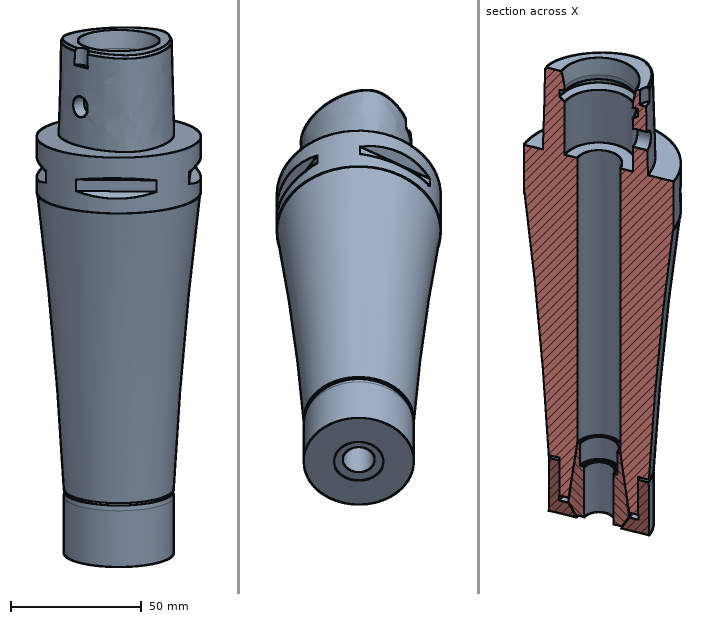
import cadquery as cq
import math

TOTAL_LENGTH = 203.0
FLANGE_TOP = 165.0
FLANGE_BOTTOM = 143.0
BODY_BOTTOM = 25.4
NUT_TOP = 24.4

FLANGE_RADIUS = 31.5
BODY_TOP_RADIUS = 31.3
BODY_MIDDLE_RADIUS = 25.2
BODY_BOTTOM_RADIUS = 21.1
THREAD_RADIUS = 16.6
THREAD_BOTTOM = 8.1

SHANK_BASE_RADIUS = 22.1
SHANK_TAPER = 1 / 40
LOBE_HEIGHT = 1.5
OUTLINE_POINTS = 24
SHANK_CHAMFER_HEIGHT = 1.2
SHANK_CHAMFER_WIDTH = 0.6

MOUTH_RADIUS = 15.6
BORE_RADIUS = 14.2
MOUTH_DEPTH = 7.0
GROOVE_RADIUS = 16.5
GROOVE_TOP = 194.0
GROOVE_WALL_BOTTOM = 191.0
GROOVE_BOTTOM = 189.2
BORE_FLOOR = FLANGE_TOP
CHANNEL_RADIUS = 9.0

NOTCH_RADIUS = 4.0
NOTCH_DISTANCE = 21.5
NOTCH_BOTTOM = 196.3
SIDE_HOLE_RADIUS = 4.0
SIDE_HOLE_HEIGHT = 180.5
SIDE_HOLE_FLOOR_DISTANCE = 14.5

POCKET_COUNT = 4
POCKET_HEIGHT = 152.9
POCKET_FLOOR_DISTANCE = 27.5
POCKET_FLOOR_WIDTH = 4.5
POCKET_RIM_WIDTH = 8.1

COLLET_TOP = 34.5
COLLET_BOTTOM = 1.0
COLLET_WIDEST_HEIGHT = 6.0
COLLET_BACK_ANGLE = 8.0
COLLET_FRONT_ANGLE = 30.0
COLLET_BACK_BORE_RADIUS = 7.7
COLLET_GRIP_RADIUS = 6.0
COLLET_STEP_HEIGHT = 24.4
COLLET_STEP_CHAMFER = 0.5

NUT_RADIUS = 21.1
NUT_CHAMFER_HEIGHT = 2.0
NUT_CHAMFER_WIDTH = 0.2


def collet_back_radius(height):
    """Radius of the long back cone of the collet."""
    return CHANNEL_RADIUS + (COLLET_TOP - height) * math.tan(math.radians(COLLET_BACK_ANGLE))


COLLET_WIDEST_RADIUS = collet_back_radius(COLLET_WIDEST_HEIGHT)


def collet_front_radius(height):
    """Radius of the short front cone that the nut presses on."""
    drop = COLLET_WIDEST_HEIGHT - height
    return COLLET_WIDEST_RADIUS - drop * math.tan(math.radians(COLLET_FRONT_ANGLE))


def revolve_profile(sketch):
    """Close a (radius, height) profile and turn it about the Z axis."""
    return sketch.close().revolve(360, (0, 0, 0), (0, 1, 0))


def shank_outline(radius):
    """Constant-width three-lobed curve, as the envelope of its support distances."""

    def point(step):
        angle = 2 * math.pi * step / OUTLINE_POINTS - math.pi / 2
        reach = radius - LOBE_HEIGHT * math.sin(3 * angle)
        change = -3 * LOBE_HEIGHT * math.cos(3 * angle)
        x = reach * math.cos(angle) - change * math.sin(angle)
        y = reach * math.sin(angle) + change * math.cos(angle)
        return (x, y)

    return [point(step) for step in range(OUTLINE_POINTS)]


def shank_stage(bottom, bottom_radius, top, top_radius):
    """Straight-sided loft between two three-lobed outlines."""
    return (
        cq.Workplane("XY", origin=(0, 0, bottom))
        .spline(shank_outline(bottom_radius), periodic=True)
        .close()
        .workplane(offset=top - bottom)
        .spline(shank_outline(top_radius), periodic=True)
        .close()
        .loft(ruled=True)
    )


def make_shank():
    chamfer_bottom = TOTAL_LENGTH - SHANK_CHAMFER_HEIGHT
    chamfer_radius = SHANK_BASE_RADIUS - SHANK_TAPER * (chamfer_bottom - FLANGE_TOP)
    taper = shank_stage(FLANGE_TOP, SHANK_BASE_RADIUS, chamfer_bottom, chamfer_radius)
    top_radius = chamfer_radius - SHANK_CHAMFER_WIDTH
    return taper.union(shank_stage(chamfer_bottom, chamfer_radius, TOTAL_LENGTH, top_radius))


def make_body():
    """Flange, slightly hollowed cone and threaded nose."""
    middle_height = (FLANGE_BOTTOM + BODY_BOTTOM) / 2
    return revolve_profile(
        cq.Workplane("XZ")
        .moveTo(0, THREAD_BOTTOM)
        .lineTo(THREAD_RADIUS, THREAD_BOTTOM)
        .lineTo(THREAD_RADIUS, BODY_BOTTOM)
        .lineTo(BODY_BOTTOM_RADIUS, BODY_BOTTOM)
        .threePointArc((BODY_MIDDLE_RADIUS, middle_height), (BODY_TOP_RADIUS, FLANGE_BOTTOM))
        .lineTo(FLANGE_RADIUS, FLANGE_BOTTOM)
        .lineTo(FLANGE_RADIUS, FLANGE_TOP)
        .lineTo(0, FLANGE_TOP)
    )


def make_inner_space():
    """Everything bored out of the holder, from the shank mouth down to the collet seat."""
    return revolve_profile(
        cq.Workplane("XZ")
        .moveTo(0, TOTAL_LENGTH)
        .lineTo(MOUTH_RADIUS, TOTAL_LENGTH)
        .lineTo(BORE_RADIUS, TOTAL_LENGTH - MOUTH_DEPTH)
        .lineTo(BORE_RADIUS, GROOVE_TOP)
        .lineTo(GROOVE_RADIUS, GROOVE_TOP)
        .lineTo(GROOVE_RADIUS, GROOVE_WALL_BOTTOM)
        .lineTo(BORE_RADIUS, GROOVE_BOTTOM)
        .lineTo(BORE_RADIUS, BORE_FLOOR)
        .lineTo(CHANNEL_RADIUS, BORE_FLOOR)
        .lineTo(CHANNEL_RADIUS, COLLET_TOP)
        .lineTo(collet_back_radius(THREAD_BOTTOM), THREAD_BOTTOM)
        .lineTo(0, THREAD_BOTTOM)
    )


def make_notch():
    """Upright round cutter that breaks through the shank rim."""
    return (
        cq.Workplane("XY", origin=(0, -NOTCH_DISTANCE, NOTCH_BOTTOM))
        .circle(NOTCH_RADIUS)
        .extrude(TOTAL_LENGTH - NOTCH_BOTTOM)
    )


def make_side_hole():
    """Blind hole from the -Y side, stopping just short of the bore."""
    return (
        cq.Workplane("XZ", origin=(0, -SIDE_HOLE_FLOOR_DISTANCE, SIDE_HOLE_HEIGHT))
        .circle(SIDE_HOLE_RADIUS)
        .extrude(FLANGE_RADIUS)
    )


def make_pocket(angle):
    """Flat-floored pocket with sloping walls, cut straight across the flange rim."""
    return (
        cq.Workplane("XZ", origin=(0, 0, POCKET_HEIGHT))
        .moveTo(POCKET_FLOOR_DISTANCE, -POCKET_FLOOR_WIDTH / 2)
        .lineTo(FLANGE_RADIUS, -POCKET_RIM_WIDTH / 2)
        .lineTo(FLANGE_RADIUS, POCKET_RIM_WIDTH / 2)
        .lineTo(POCKET_FLOOR_DISTANCE, POCKET_FLOOR_WIDTH / 2)
        .close()
        .extrude(FLANGE_RADIUS, both=True)
        .rotate((0, 0, 0), (0, 0, 1), angle)
    )


def make_holder():
    holder = make_body().union(make_shank()).cut(make_inner_space())
    holder = holder.cut(make_notch()).cut(make_side_hole())
    for index in range(POCKET_COUNT):
        holder = holder.cut(make_pocket((index + 0.5) * 360 / POCKET_COUNT))
    return holder


def make_collet():
    """Double-cone sleeve with a wide back bore and a narrow gripping bore."""
    return revolve_profile(
        cq.Workplane("XZ")
        .moveTo(COLLET_GRIP_RADIUS, COLLET_BOTTOM)
        .lineTo(collet_front_radius(COLLET_BOTTOM), COLLET_BOTTOM)
        .lineTo(COLLET_WIDEST_RADIUS, COLLET_WIDEST_HEIGHT)
        .lineTo(CHANNEL_RADIUS, COLLET_TOP)
        .lineTo(COLLET_BACK_BORE_RADIUS, COLLET_TOP)
        .lineTo(COLLET_BACK_BORE_RADIUS, COLLET_STEP_HEIGHT)
        .lineTo(COLLET_GRIP_RADIUS + COLLET_STEP_CHAMFER, COLLET_STEP_HEIGHT)
        .lineTo(COLLET_GRIP_RADIUS, COLLET_STEP_HEIGHT - COLLET_STEP_CHAMFER)
    )


def make_nut():
    """Ring screwed on the nose, with a conical mouth around the collet front."""
    return revolve_profile(
        cq.Workplane("XZ")
        .moveTo(collet_front_radius(0), 0)
        .lineTo(NUT_RADIUS, 0)
        .lineTo(NUT_RADIUS, NUT_TOP - NUT_CHAMFER_HEIGHT)
        .lineTo(NUT_RADIUS - NUT_CHAMFER_WIDTH, NUT_TOP)
        .lineTo(THREAD_RADIUS, NUT_TOP)
        .lineTo(THREAD_RADIUS, COLLET_WIDEST_HEIGHT)
        .lineTo(COLLET_WIDEST_RADIUS, COLLET_WIDEST_HEIGHT)
    )


holder = make_holder()
collet = make_collet()
nut = make_nut()
result = cq.Compound.makeCompound([holder.val(), collet.val(), nut.val()])